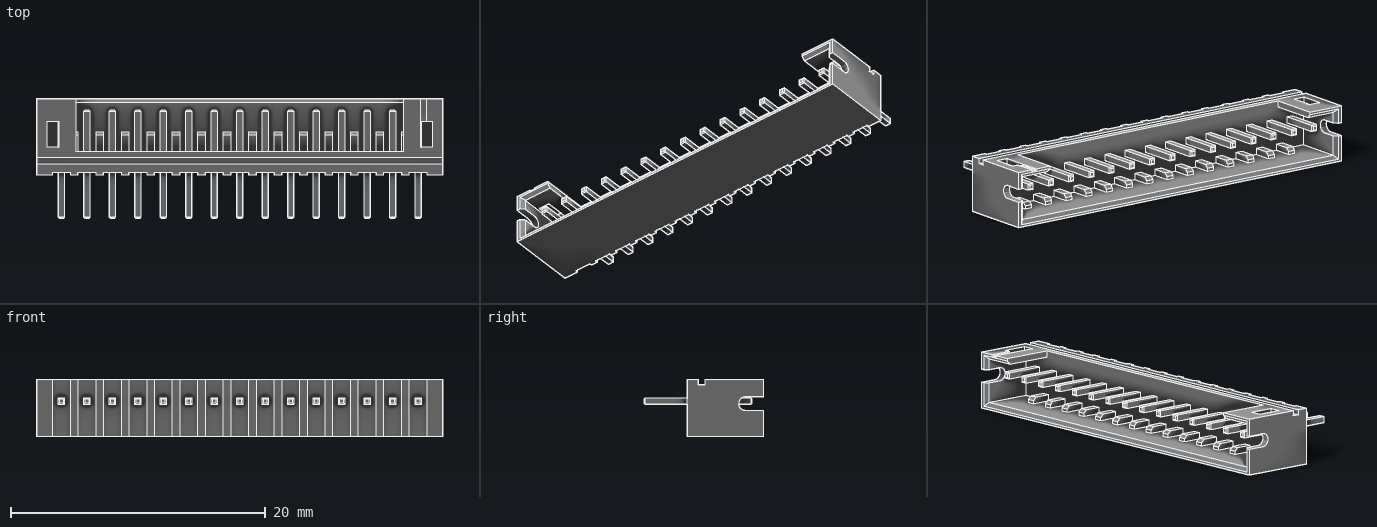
import cadquery as cq


pin_count = 15
pitch = 2.0
pin_width = 0.5
pin_tail = 3.4
pin_reach = 5.1
pin_height = 2.8
tip_chamfer = 0.1

end_margin = 1.95
row_length = (pin_count - 1) * pitch
length = row_length + 2 * end_margin
depth = 6.0
height = 4.5

side_wall = 0.6
floor_wall = 0.5
back_wall = 1.85
mouth_chamfer = 0.3

roof_arm = 3.1
window_width = 0.95
window_start = 2.2
window_end = 4.2
window_offset = 0.8
key_width = 0.45
key_depth = 0.1
cross_groove_start = 0.88
cross_groove_width = 0.5
cross_groove_depth = 0.4

slot_height = 1.05
slot_depth = 1.95
slot_middle = 2.6

relief_width = 1.4
relief_depth = 0.2

rib_width = pitch - relief_width
rib_end = 3.4
rib_rise = 0.5
rib_chamfer = 0.25

half_length = length / 2
pin_positions = [-row_length / 2 + i * pitch for i in range(pin_count)]
rib_positions = [x + pitch / 2 for x in pin_positions[:-1]]


def box(x_range, y_range, z_range):
    """Axis-aligned block between pairs of coordinates."""
    lower = (x_range[0], y_range[0], z_range[0])
    size = (x_range[1] - x_range[0], y_range[1] - y_range[0], z_range[1] - z_range[0])
    return cq.Workplane("XY").box(*size, centered=False).translate(lower)


def centred_range(middle, width):
    """Coordinates of the two ends of a width about its middle."""
    return (middle - width / 2, middle + width / 2)


def make_shell():
    """Housing block with its cavity, flared by a chamfer inside the mouth."""
    cavity_width = length - 2 * side_wall
    cavity_height = height - 2 * floor_wall
    block = box((-half_length, half_length), (0, depth), (0, height))
    cavity = box(
        centred_range(0, cavity_width),
        (back_wall, depth),
        (floor_wall, height - floor_wall),
    )
    flare = (
        cq.Workplane("XZ", origin=(0, depth, height / 2))
        .rect(cavity_width + 2 * mouth_chamfer, cavity_height + 2 * mouth_chamfer)
        .workplane(offset=mouth_chamfer)
        .rect(cavity_width, cavity_height)
        .loft(ruled=True)
    )
    return block.cut(cavity).cut(flare)


def cut_roof(body):
    """Open the roof between the end arms, pierce a window in each arm and mark one arm with a key groove."""
    upper_half = (height / 2, height)
    opening = box(centred_range(0, length - 2 * roof_arm), (back_wall, depth), upper_half)
    body = body.cut(opening)
    window_middle = half_length - window_offset - window_width / 2
    for x in (-window_middle, window_middle):
        window = box(centred_range(x, window_width), (window_start, window_end), upper_half)
        body = body.cut(window)
    key_start = window_middle - window_width / 2
    key_groove = box(
        (key_start, key_start + key_width),
        (window_end, depth),
        (height - key_depth, height),
    )
    return body.cut(key_groove)


def cut_cross_groove(body):
    """Shallow groove along the full length of the top, over the back wall."""
    groove = box(
        (-half_length, half_length),
        (cross_groove_start, cross_groove_start + cross_groove_width),
        (height - cross_groove_depth, height),
    )
    return body.cut(groove)


def cut_end_slots(body):
    """Round-ended slots, open to the mouth, through both end walls."""
    radius = slot_height / 2
    round_centre = depth - slot_depth + radius
    straight = box(
        (-half_length, half_length),
        (round_centre, depth),
        centred_range(slot_middle, slot_height),
    )
    rounded = (
        cq.Workplane("YZ")
        .center(round_centre, slot_middle)
        .circle(radius)
        .extrude(half_length, both=True)
    )
    return body.cut(straight.union(rounded))


def cut_reliefs(body):
    """Full-height shallow grooves in the tail-side wall, one around each pin."""
    for x in pin_positions:
        body = body.cut(box(centred_range(x, relief_width), (0, relief_depth), (0, height)))
    return body


def add_ribs(body):
    """Floor ribs growing from the back wall, with a chamfered front top edge."""
    for x in rib_positions:
        rib = box(centred_range(x, rib_width), (back_wall, rib_end), (floor_wall, floor_wall + rib_rise))
        body = body.union(rib.edges(">Y and >Z").chamfer(rib_chamfer))
    return body


def add_pins(body):
    """Square pins through the back wall, chamfered at both tips."""
    for x in pin_positions:
        pin = box(
            centred_range(x, pin_width),
            (-pin_tail, pin_reach),
            centred_range(pin_height, pin_width),
        )
        body = body.union(pin.faces("<Y or >Y").chamfer(tip_chamfer))
    return body


housing = make_shell()
housing = cut_roof(housing)
housing = cut_cross_groove(housing)
housing = cut_end_slots(housing)
housing = cut_reliefs(housing)
housing = add_ribs(housing)
result = add_pins(housing)